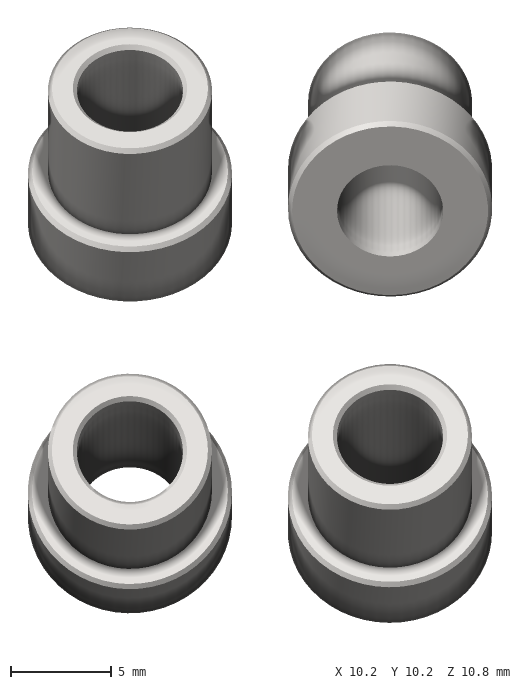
import cadquery as cq

total_height = 10.75
head_height = 4.27
head_diameter = 10.2
shank_diameter = 8.2
bore_diameter = 5.3
edge_chamfer = 0.2


def chamfered_cylinder(diameter, height):
    """Upright cylinder on the XY plane with both rims chamfered."""
    cylinder = cq.Workplane("XY").circle(diameter / 2).extrude(height)
    return cylinder.faces("<Z or >Z").edges().chamfer(edge_chamfer)


head = chamfered_cylinder(head_diameter, head_height)
shank = chamfered_cylinder(shank_diameter, total_height)
body = head.union(shank)

bore = cq.Workplane("XY").circle(bore_diameter / 2).extrude(total_height)
bore_mouth = (
    cq.Workplane("XY", origin=(0, 0, total_height))
    .circle(bore_diameter / 2 + edge_chamfer)
    .workplane(offset=-edge_chamfer)
    .circle(bore_diameter / 2)
    .loft(ruled=True)
)

result = body.cut(bore).cut(bore_mouth)